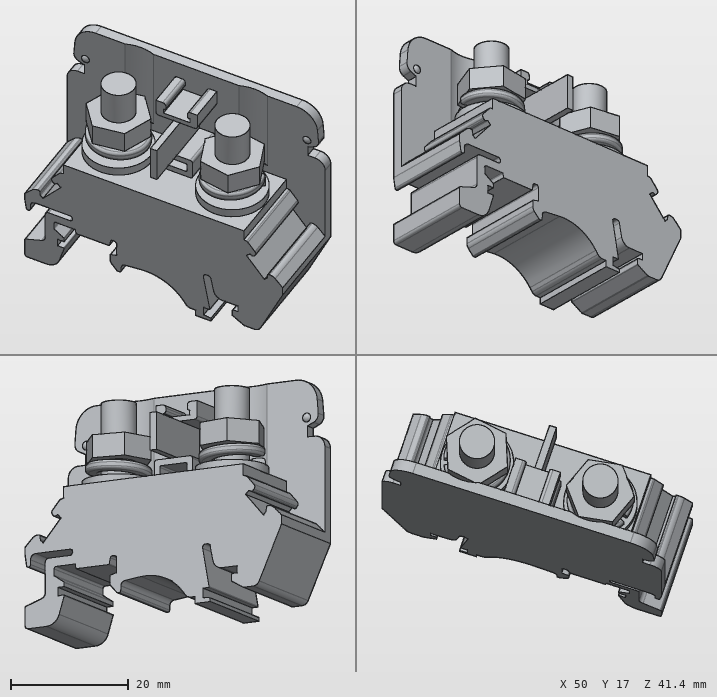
import cadquery as cq
import math


half_length = 25.0
height = 41.4
depth = 17.0
plate_thickness = 2.0
plate_front = depth - plate_thickness
deck_height = 24.0
deck_half_length = 17.5
shoulder_height = 14.25
plate_bottom = 14.0

stud_x = 11.03
stud_y = 7.7
stud_diameter = 6.0
stud_top = 39.25
washer_diameter = 12.5
washer_thickness = 1.6
washer_top = deck_height + washer_thickness
nut_bottom = 29.0
nut_height = 4.0
nut_corner_diameter = 11.7
nut_turn = -9.0
spring_inner_diameter = 6.6
spring_outer_diameter = 11.3
spring_section_height = 1.65
spring_section_fillet = 0.5
spring_start = 26.0
spring_sweep = 353.0
spring_seat = 0.05

recess_radius = 7.8
recess_bottom = washer_top

pip_x = 21.45
pip_z = 34.65
pip_diameter = 1.55
pip_height = 0.4

holder_half_width = 4.0
holder_bottom = 35.0
holder_top = 38.2
holder_floor = 0.9
holder_wall = 1.45
holder_front = 8.1
hook_overhang = 0.45
hook_height = 1.5
web_thickness = 1.25
tube_bottom = 24.5
tube_top = 28.45
tube_half_width = 3.72
tube_wall = 1.1
tube_front = 7.0
tube_fillet = 0.5
tube_opening_fillet = 0.3


def rounded_outline(corners):
    """Closed XZ outline through (x, z, radius) corners, each rounded by a tangent arc."""
    outline = None
    for i, (x, z, radius) in enumerate(corners):
        before = corners[i - 1]
        after = corners[(i + 1) % len(corners)]
        corner = cq.Vector(x, z)
        to_before = (cq.Vector(before[0], before[1]) - corner).normalized()
        to_after = (cq.Vector(after[0], after[1]) - corner).normalized()
        half_angle = to_before.getAngle(to_after) / 2
        tangent = radius / math.tan(half_angle)
        start = corner + to_before * tangent
        start_point = (start.x, start.y)
        outline = outline.lineTo(*start_point) if outline else cq.Workplane("XZ").moveTo(*start_point)
        if radius > 0:
            bisector = (to_before + to_after).normalized()
            middle = corner + bisector * (radius / math.sin(half_angle) - radius)
            end = corner + to_after * tangent
            outline = outline.threePointArc((middle.x, middle.y), (end.x, end.y))
    return outline.close()


def extrude_between(outline, front, back):
    """Extrude an XZ outline from Y = front to Y = back."""
    return outline.extrude(front - back).translate((0, front, 0))


def mirrored(corners):
    """The corners mirrored in X, in reverse order so that the outline runs on."""
    return [(-x, z, radius) for x, z, radius in reversed(corners)]


flank = [
    (deck_half_length, deck_height, 0),
    (deck_half_length, 22.0, 0),
    (18.15, 21.85, 0.5),
    (20.0, 19.75, 0.65),
    (19.25, 18.9, 0.35),
    (18.65, 19.25, 0.1),
    (18.0, 18.6, 0),
    (21.45, 14.65, 0),
    (22.0, 15.2, 0.3),
    (22.05, 16.15, 0.3),
    (23.1, 16.15, 1.5),
    (half_length, shoulder_height, 0),
]

underside = [
    (half_length, 12.65, 0),
    (20.3, 2.45, 1.3),
    (17.55, 2.45, 0.3),
    (15.2, 3.8, 0.1),
    (15.2, 5.1, 0.3),
    (16.3, 5.1, 0),
    (16.3, 6.35, 0),
    (11.9, 6.35, 1.8),
    (11.0, 10.85, 0.6),
    (9.5, 10.85, 0.6),
    (10.9, 3.2, 0.1),
    (9.7, 3.2, 0),
    (9.7, 1.55, 0),
    (11.1, 1.35, 0),
    (11.1, 0.7, 0),
    (8.1, 0.7, 0),
    (8.1, 1.9, 0),
    (6.6, 1.95, 1.2),
    (2.7, 7.1, 9.1),
    (-6.25, 6.2, 0.9),
    (-6.35, 4.3, 0.3),
    (-7.05, 4.3, 0.2),
    (-8.45, 5.8, 1.2),
    (-8.45, 7.5, 0.2),
    (-7.2, 7.8, 0),
    (-7.2, 10.85, 0.45),
    (-8.3, 10.85, 0.4),
    (-8.6, 9.4, 0.1),
    (-15.05, 9.4, 0),
    (-15.2, 10.25, 0.1),
    (-19.3, 10.25, 0.4),
    (-19.3, 8.65, 0.1),
    (-17.35, 7.35, 0.1),
    (-17.35, 6.55, 0),
    (-18.6, 6.55, 0),
    (-18.6, 5.1, 0),
    (-17.3, 5.1, 0.1),
    (-18.9, 0, 2.6),
    (-half_length, 0, 0.6),
    (-half_length, 3.9, 0.3),
    (-21.05, 5.2, 1.0),
    (-21.05, 11.85, 0.7),
    (-15.75, 11.85, 0.5),
    (-15.75, 12.95, 0.5),
    (-23.9, 12.95, 1.0),
    (-23.9, 10.75, 0.4),
    (-24.65, 10.75, 0.33),
    (-half_length, 12.95, 0),
]

plate_edge = [
    (23.2, height, 4.05),
    (23.8, 34.1, 1.5),
    (21.65, 33.15, 0),
    (21.65, 31.25, 0),
    (half_length, 31.25, 2.0),
    (half_length, plate_bottom, 0),
]


def plate_recess():
    cutter = cq.Workplane("XY", origin=(0, stud_y, recess_bottom))
    return cutter.pushPoints([(-stud_x, 0), (stud_x, 0)]).circle(recess_radius).extrude(height)


def marker_holder():
    """Hooked channel, the tube under it, and the web that joins them."""
    wall_inside = holder_half_width - holder_wall
    hook_inside = wall_inside - hook_overhang
    hook_bottom = holder_top - hook_height
    channel_side = [
        (holder_half_width, holder_bottom, 0.5),
        (holder_half_width, holder_top, 0),
        (hook_inside, holder_top, 0.6),
        (hook_inside, hook_bottom, 0.4),
        (wall_inside, hook_bottom, 0),
        (wall_inside, holder_bottom + holder_floor, 0),
    ]
    channel = extrude_between(
        rounded_outline(channel_side + mirrored(channel_side)), holder_front, plate_front)

    tube_height = tube_top - tube_bottom
    tube_outline = cq.Sketch().rect(2 * tube_half_width, tube_height).vertices().fillet(tube_fillet)
    opening_width = 2 * (tube_half_width - tube_wall)
    tube_opening = cq.Sketch().rect(opening_width, tube_height - 2 * tube_wall)
    tube_opening = tube_opening.vertices().fillet(tube_opening_fillet)
    tube_plane = cq.Workplane("XZ", origin=(0, tube_front, (tube_bottom + tube_top) / 2))
    tube_length = plate_front - tube_front
    tube = tube_plane.placeSketch(tube_outline).extrude(-tube_length)
    tube = tube.cut(tube_plane.placeSketch(tube_opening).extrude(-tube_length))

    web = cq.Workplane("XY", origin=(0, 0, tube_top)).center(0, plate_front / 2)
    web = web.rect(web_thickness, plate_front).extrude(holder_bottom - tube_top)
    return channel.union(tube).union(web)


def plate_pip():
    """Ball sunk behind the XZ plane so that only a low dome stands out towards -Y."""
    ball_radius = ((pip_diameter / 2) ** 2 + pip_height ** 2) / (2 * pip_height)
    ball = cq.Workplane("XZ").sphere(ball_radius)
    return ball.translate((0, ball_radius - pip_height, 0))


def build_housing():
    base = extrude_between(rounded_outline(mirrored(flank) + flank + underside), 0, depth)
    plate = extrude_between(
        rounded_outline(plate_edge + mirrored(plate_edge)), plate_front, depth)
    plate = plate.cut(plate_recess())
    body = base.union(plate).union(marker_holder())
    for x in (-pip_x, pip_x):
        body = body.union(plate_pip().translate((x, plate_front, pip_z)))
    return body


def spring_washer():
    """Split spring washer: one helical turn, from the flat washer up to the nut."""
    inner = spring_inner_diameter / 2
    outer = spring_outer_diameter / 2
    lower_centre = washer_top - spring_seat + spring_section_height / 2
    upper_centre = nut_bottom + spring_seat - spring_section_height / 2
    rise = upper_centre - lower_centre
    mean_radius = (inner + outer) / 2
    helix = cq.Wire.makeHelix(rise * 360 / spring_sweep, rise, mean_radius)
    section = cq.Sketch().rect(outer - inner, spring_section_height)
    section = section.vertices().fillet(spring_section_fillet)
    turn = cq.Workplane("XZ", origin=(mean_radius, 0, 0)).placeSketch(section)
    turn = turn.sweep(cq.Workplane(helix), isFrenet=True)
    return turn.rotate((0, 0, 0), (0, 0, 1), spring_start).translate((0, 0, lower_centre))


def build_stud(side):
    """Stud with flat washer, spring washer and nut; side is 1 for right, -1 for left."""
    stud = cq.Workplane("XY", origin=(0, 0, deck_height))
    stud = stud.circle(stud_diameter / 2).extrude(stud_top - deck_height)
    washer = cq.Workplane("XY", origin=(0, 0, deck_height))
    washer = washer.circle(washer_diameter / 2).extrude(washer_thickness)
    nut = cq.Workplane("XY", origin=(0, 0, nut_bottom))
    nut = nut.polygon(6, nut_corner_diameter).extrude(nut_height)
    nut = nut.rotate((0, 0, 0), (0, 0, 1), nut_turn)
    assembly = stud.union(washer).union(nut).union(spring_washer())
    assembly = assembly.translate((stud_x, stud_y, 0))
    return assembly if side > 0 else assembly.mirror("YZ")


housing = build_housing()
studs = [build_stud(side) for side in (-1, 1)]
result = cq.Compound.makeCompound([housing.val()] + [stud.val() for stud in studs])